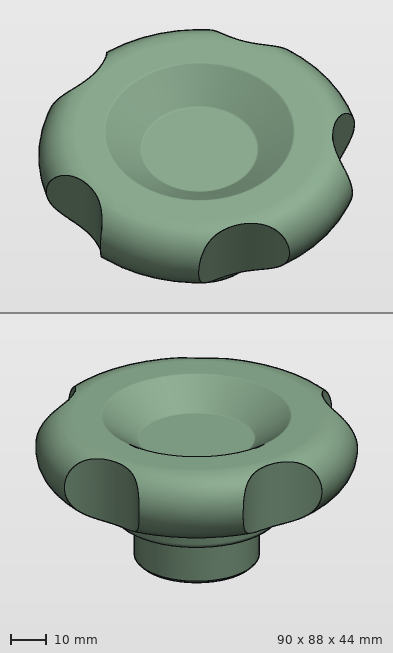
import cadquery as cq
import math

wheel_radius = 45.0
wheel_height = 20.0
edge_radius = wheel_height / 2
flat_radius = wheel_radius - edge_radius

collar_height = 10.0
collar_top_radius = 24.0
collar_bottom_radius = 23.8
collar_fillet = 1.3
hub_height = 14.0
hub_diameter = 35.0
hub_radius = hub_diameter / 2
hub_chamfer = 1.0

dish_rim_radius = 26.5
dish_floor_radius = 16.3
dish_depth = 7.3
dish_fillet = 1.0

scallop_count = 5
scallop_radius = 18.0
scallop_depth = 7.8
first_scallop_angle = -90.0
scallop_overrun = 0.9

seam_angle = first_scallop_angle + 180

collar_bottom = hub_height
wheel_bottom = collar_bottom + collar_height
wheel_middle = wheel_bottom + edge_radius
wheel_top = wheel_bottom + wheel_height
dish_floor = wheel_top - dish_depth


def make_body():
    """Revolve the half section, including the dish, about Z."""
    return (
        cq.Workplane("XZ")
        .moveTo(0, 0)
        .lineTo(hub_radius - hub_chamfer, 0)
        .lineTo(hub_radius, hub_chamfer)
        .lineTo(hub_radius, collar_bottom)
        .lineTo(collar_bottom_radius, collar_bottom)
        .lineTo(collar_top_radius, wheel_bottom)
        .lineTo(flat_radius, wheel_bottom)
        .threePointArc((wheel_radius, wheel_middle), (flat_radius, wheel_top))
        .lineTo(dish_rim_radius, wheel_top)
        .lineTo(dish_floor_radius, dish_floor)
        .lineTo(0, dish_floor)
        .close()
        .revolve(360, (0, 0, 0), (0, 1, 0))
        .rotate((0, 0, 0), (0, 0, 1), seam_angle)
    )


def round_circle(body, radius, level, fillet_radius):
    """Fillet the circular edge of the given radius and height, centered on Z."""
    tolerance = 0.001
    edges = [
        edge
        for edge in body.edges("%CIRCLE").vals()
        if abs(edge.radius() - radius) < tolerance and abs(edge.Center().z - level) < tolerance
    ]
    return body.newObject(edges).fillet(fillet_radius)


def make_scallops():
    """Vertical cutting cylinders spaced evenly around the wheel."""
    center_distance = wheel_radius - scallop_depth + scallop_radius
    centers = []
    for index in range(scallop_count):
        angle = math.radians(first_scallop_angle + index * 360 / scallop_count)
        centers.append((center_distance * math.cos(angle), center_distance * math.sin(angle)))
    return (
        cq.Workplane("XY")
        .workplane(offset=wheel_bottom - scallop_overrun)
        .pushPoints(centers)
        .circle(scallop_radius)
        .extrude(wheel_height + 2 * scallop_overrun)
    )


body = make_body()
body = round_circle(body, collar_bottom_radius, collar_bottom, collar_fillet)
body = round_circle(body, dish_rim_radius, wheel_top, dish_fillet)
body = round_circle(body, dish_floor_radius, dish_floor, dish_fillet)

result = body.cut(make_scallops())